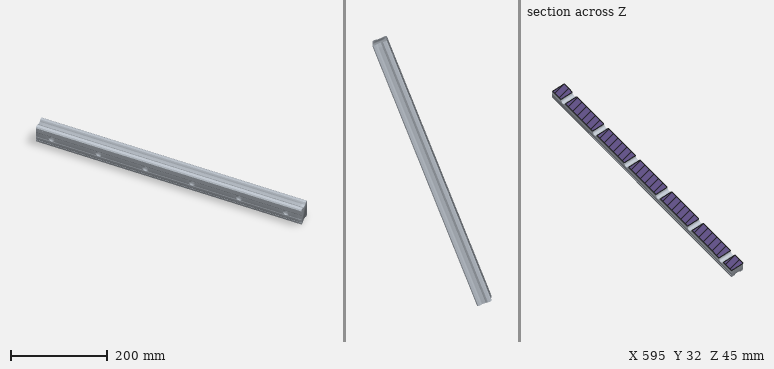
import cadquery as cq

length = 595.0
depth = 32.0
height = 45.0

edge_chamfer = 2.5
channel_depth = 3.5
channel_back_lip = 8.0
channel_floor_back = 11.5
channel_floor_front = 19.0
channel_front_lip = 24.0

step_depth = 0.5
step_height = 31.0
relief_depth = 1.0
relief_mouth_height = 15.5
relief_floor_height = 12.5

hole_diameter = 13.5
hole_count = 6
end_margin = 35.0
hole_pitch = (length - 2 * end_margin) / (hole_count - 1)

back = depth / 2
top = height / 2


def upper_outline():
    """Upper half of the YZ section, from the +Y face round to the -Y relief."""
    return [
        (back, top - edge_chamfer),
        (back - edge_chamfer, top),
        (back - channel_back_lip, top),
        (back - channel_floor_back, top - channel_depth),
        (back - channel_floor_front, top - channel_depth),
        (back - channel_front_lip, top),
        (-back + edge_chamfer, top),
        (-back, top - edge_chamfer),
        (-back, step_height / 2),
        (-back + step_depth, step_height / 2),
        (-back + step_depth, relief_mouth_height / 2),
        (-back + relief_depth, relief_floor_height / 2),
    ]


def rail_body():
    """Extrude the section, which is symmetric about Z = 0, along X."""
    upper = upper_outline()
    lower = [(y, -z) for y, z in reversed(upper)]
    section = cq.Workplane("YZ").polyline(upper + lower).close()
    return section.extrude(length / 2, both=True)


def mounting_holes():
    """Row of plain through holes along the rail."""
    return (
        cq.Workplane("XZ")
        .rarray(hole_pitch, 6, hole_count, 1)
        .circle(hole_diameter / 2)
        .extrude(depth, both=True)
    )


result = rail_body().cut(mounting_holes())